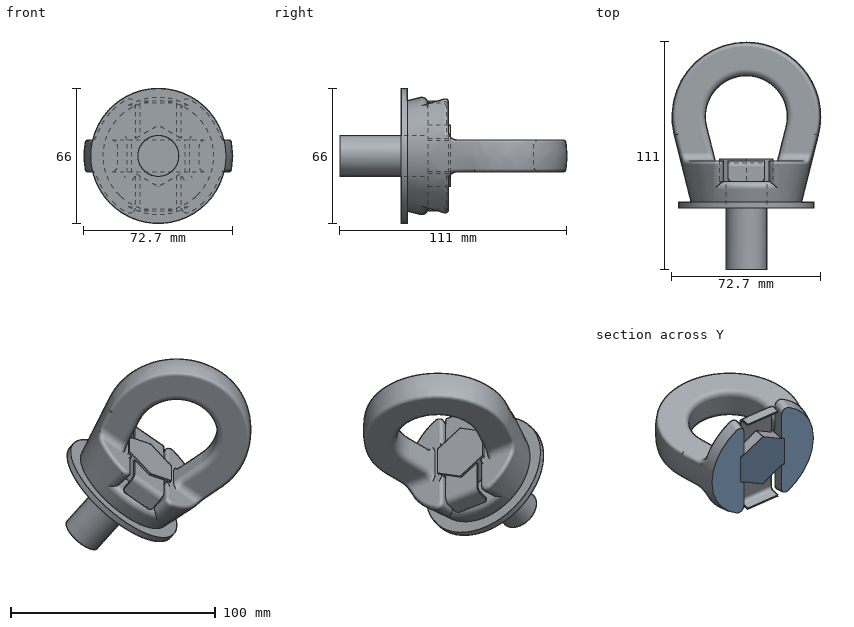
import cadquery as cq
import math


total_length = 111.0

washer_diameter = 66.0
washer_thickness = 3.0
stud_diameter = 20.0
stud_length = 30.0
hex_across_flats = 26.0
hex_top = 24.1

eye_radius = 36.35
eye_hole_radius = 20.0
eye_thickness = 15.8
arm_angle = 14.1
base_top = 23.1
root_radius = 4.0
outer_edge_radius = 1.5
hole_edge_radius = 3.1

window_width = 22.2
window_floor = 13.0
window_edge_radius = 3.0

tab_width = 18.0
tab_face = 26.9
tab_thickness = 1.0
tab_bend_radius = 3.0
tab_corner_radius = 2.0

eye_center = total_length - stud_length - eye_radius
half_thickness = eye_thickness / 2
flare_edge = half_thickness + root_radius
hex_corner_diameter = hex_across_flats / math.cos(math.radians(30))
reach = 2 * eye_radius


def tangent_point(radius):
    """Point where an arm line leaves a circle of this radius about the eye center."""
    angle = math.radians(arm_angle)
    return radius * math.cos(angle), eye_center - radius * math.sin(angle)


def arm_half_width(radius, y):
    """Half the distance at height y between the two arm lines tangent to the circle."""
    x, tangent_y = tangent_point(radius)
    return x - (tangent_y - y) * math.tan(math.radians(arm_angle))


def block(width, bottom, top, depth):
    """Box centered on the bolt axis, from bottom to top along Y."""
    middle = (bottom + top) / 2
    return cq.Workplane("XY").box(width, top - bottom, depth).translate((0, middle, 0))


def along_axis(bottom):
    """Sketch plane across the bolt axis that extrudes toward +Y."""
    return cq.Workplane(cq.Plane((0, bottom, 0), (0, 0, 1), (0, 1, 0)))


def edges_below(top):
    """Selector for the edges whose center lies below this height."""
    return cq.selectors.BoxSelector((-reach, 0, -reach), (reach, top, reach))


def make_envelope():
    """Cone widening upward into a sphere, revolved about the bolt axis."""
    return (
        cq.Workplane("XY")
        .moveTo(0, washer_thickness)
        .lineTo(arm_half_width(eye_radius, washer_thickness), washer_thickness)
        .lineTo(*tangent_point(eye_radius))
        .radiusArc((0, eye_center + eye_radius), -eye_radius)
        .close()
        .revolve(360, (0, 0, 0), (0, 1, 0))
    )


def make_flared_plate(half_depth, bottom):
    """Flat plate that flares into a wide base, as one profile extruded along X."""
    top = eye_center + reach
    return (
        cq.Workplane("YZ")
        .moveTo(bottom, -half_depth)
        .lineTo(base_top, -half_depth)
        .lineTo(base_top, -flare_edge)
        .radiusArc((base_top + root_radius, -half_thickness), root_radius)
        .lineTo(top, -half_thickness)
        .lineTo(top, half_thickness)
        .lineTo(base_top + root_radius, half_thickness)
        .radiusArc((base_top, flare_edge), root_radius)
        .lineTo(base_top, half_depth)
        .lineTo(bottom, half_depth)
        .close()
        .extrude(reach, both=True)
    )


def make_eye_opening():
    """Space above the base top between the arms, narrowed by the rounded rims of the hole."""
    half_depth = flare_edge + hole_edge_radius
    frame_bottom = window_floor
    low_x = arm_half_width(eye_hole_radius, frame_bottom)
    arc_x, arc_y = tangent_point(eye_hole_radius)
    hole = (
        cq.Workplane("XY")
        .moveTo(-low_x, frame_bottom)
        .lineTo(low_x, frame_bottom)
        .lineTo(arc_x, arc_y)
        .threePointArc((0, eye_center + eye_hole_radius), (-arc_x, arc_y))
        .close()
        .extrude(half_depth, both=True)
    )
    frame = make_flared_plate(half_depth, frame_bottom).cut(hole)
    frame = frame.faces("|Z").edges("%CIRCLE").fillet(hole_edge_radius)
    return block(reach, base_top, eye_center + eye_radius, 2 * half_depth).cut(frame)


def make_cheeks():
    """Eye without hole, slotted through below the head top, with rounded slot sides on the cone."""
    slot = block(window_width, 0, hex_top, 2 * reach)
    cheeks = make_envelope().intersect(make_flared_plate(reach, 0)).cut(slot)
    return cheeks.edges("%HYPERBOLA").edges(edges_below(base_top)).fillet(window_edge_radius)


def make_footing():
    """Cone stump below the windows, with a rounded upper rim."""
    stump = make_envelope().intersect(block(2 * reach, 0, window_floor, 2 * reach))
    return stump.faces(">Y").edges().fillet(window_edge_radius)


def make_solid_eye():
    """Cheeks on the footing, which leaves mitred windows, with rounded outer edges."""
    body = make_cheeks().union(make_footing())
    return body.faces("|Z").edges("%CIRCLE").fillet(outer_edge_radius)


def make_hex_head():
    """Hexagon with two corners on the Z axis."""
    height = hex_top - window_floor
    hexagon = along_axis(window_floor).polygon(6, hex_corner_diameter).extrude(height)
    return hexagon


def make_eye():
    """Eye ring with its base, windows, and the recess and bore for the bolt."""
    body = make_solid_eye().cut(make_eye_opening())
    bore = along_axis(0).circle(stud_diameter / 2).extrude(hex_top)
    return body.cut(make_hex_head()).cut(bore)


def make_tab():
    """Sheet strip leaving the head toward +Z and bent down into the window."""
    bend_y = base_top - tab_bend_radius
    bend_z = tab_face - tab_bend_radius
    inner_radius = tab_bend_radius - tab_thickness
    strip = (
        cq.Workplane("YZ")
        .moveTo(base_top, 0)
        .lineTo(base_top, bend_z)
        .radiusArc((bend_y, tab_face), -tab_bend_radius)
        .lineTo(window_floor, tab_face)
        .lineTo(window_floor, tab_face - tab_thickness)
        .lineTo(bend_y, tab_face - tab_thickness)
        .radiusArc((base_top - tab_thickness, bend_z), inner_radius)
        .lineTo(base_top - tab_thickness, 0)
        .close()
        .extrude(tab_width / 2, both=True)
    )
    return strip.faces("<Y").edges("|Z").fillet(tab_corner_radius)


def make_bolt():
    """Stud with a hexagon head that carries a tab on each side."""
    stud = along_axis(-stud_length).circle(stud_diameter / 2).extrude(stud_length + window_floor)
    bolt = stud.union(make_hex_head())
    tab = make_tab()
    return bolt.union(tab).union(tab.mirror("XY"))


def make_washer():
    """Flat ring under the eye, around the stud."""
    return (
        along_axis(0)
        .circle(washer_diameter / 2)
        .circle(stud_diameter / 2)
        .extrude(washer_thickness)
    )


eye = make_eye()
bolt = make_bolt()
washer = make_washer()

result = cq.Compound.makeCompound([eye.val(), bolt.val(), washer.val()])